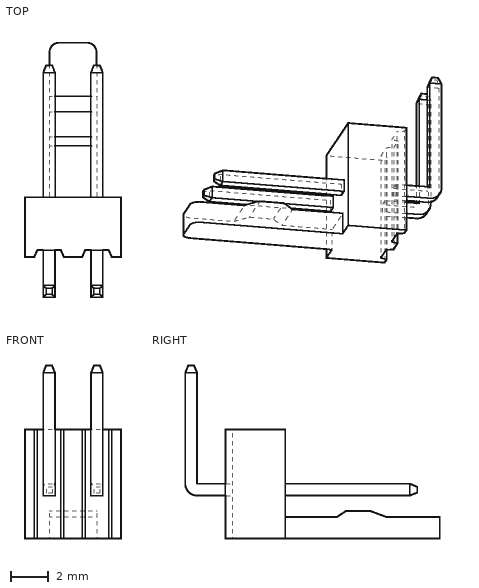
import cadquery as cq


PIN_COUNT = 2
PITCH = 2.54
PIN_SIZE = 0.64
PIN_TOP = 9.2
PIN_AXIS_Z = 2.6
PIN_END_Y = 12.0
TIP_LENGTH = 0.4
TIP_FLAT = 0.32
BEND_RADIUS = PIN_SIZE

BODY_WIDTH = 5.12
BODY_DEPTH = 3.18
BODY_HEIGHT = 5.8
BODY_FRONT_Y = 1.82
BODY_BACK_Y = BODY_FRONT_Y + BODY_DEPTH

GROOVE_MOUTH = 1.56
GROOVE_FLOOR = 1.24
GROOVE_DEPTH = 0.37

TAB_WIDTH = 2.5
TAB_THICKNESS = 1.16
TAB_CORNER_RADIUS = 0.5
TAB_END_Y = 13.2

BUMP_TOP_Z = 1.47
BUMP_NEAR_Y = 7.74
BUMP_TOP_NEAR_Y = 8.21
BUMP_TOP_FAR_Y = 9.52
BUMP_FAR_Y = 10.36

PIN_POSITIONS = [(i - (PIN_COUNT - 1) / 2) * PITCH for i in range(PIN_COUNT)]


def make_body():
    """Rectangular block with a trapezoidal groove behind each pin."""
    body = (
        cq.Workplane("XY")
        .box(BODY_WIDTH, BODY_DEPTH, BODY_HEIGHT, centered=(True, False, False))
        .translate((0, BODY_FRONT_Y, 0))
    )
    groove_floor_y = BODY_FRONT_Y + GROOVE_DEPTH
    for x in PIN_POSITIONS:
        groove = (
            cq.Workplane("XY")
            .moveTo(x - GROOVE_MOUTH / 2, BODY_FRONT_Y)
            .lineTo(x - GROOVE_FLOOR / 2, groove_floor_y)
            .lineTo(x + GROOVE_FLOOR / 2, groove_floor_y)
            .lineTo(x + GROOVE_MOUTH / 2, BODY_FRONT_Y)
            .close()
            .extrude(BODY_HEIGHT)
        )
        body = body.cut(groove)
    return body


def make_tab():
    """Flat tongue with rounded end corners and a ramped latch bump."""
    tongue = (
        cq.Workplane("XY")
        .box(TAB_WIDTH, TAB_END_Y - BODY_BACK_Y, TAB_THICKNESS, centered=(True, False, False))
        .translate((0, BODY_BACK_Y, 0))
        .edges("|Z and >Y")
        .fillet(TAB_CORNER_RADIUS)
    )
    bump = (
        cq.Workplane("YZ")
        .moveTo(BUMP_NEAR_Y, TAB_THICKNESS)
        .lineTo(BUMP_TOP_NEAR_Y, BUMP_TOP_Z)
        .lineTo(BUMP_TOP_FAR_Y, BUMP_TOP_Z)
        .lineTo(BUMP_FAR_Y, TAB_THICKNESS)
        .close()
        .extrude(TAB_WIDTH / 2, both=True)
    )
    return tongue.union(bump)


def make_tip(base):
    """Tapered square tip growing from a workplane at the end of a leg."""
    return (
        base.rect(PIN_SIZE, PIN_SIZE)
        .workplane(offset=TIP_LENGTH)
        .rect(TIP_FLAT, TIP_FLAT)
        .loft()
    )


def make_pin():
    """L-shaped square pin centred on X = 0, tapered at both ends."""
    half = PIN_SIZE / 2
    leg_bottom = PIN_AXIS_Z - half
    leg_top = PIN_AXIS_Z + half
    upright_end_z = PIN_TOP - TIP_LENGTH
    horizontal_end_y = PIN_END_Y - TIP_LENGTH
    legs = (
        cq.Workplane("YZ")
        .moveTo(-half, upright_end_z)
        .lineTo(-half, leg_bottom + BEND_RADIUS)
        .radiusArc((-half + BEND_RADIUS, leg_bottom), -BEND_RADIUS)
        .lineTo(horizontal_end_y, leg_bottom)
        .lineTo(horizontal_end_y, leg_top)
        .lineTo(half, leg_top)
        .lineTo(half, upright_end_z)
        .close()
        .extrude(half, both=True)
    )
    upright_tip = make_tip(cq.Workplane("XY", origin=(0, 0, upright_end_z)))
    horizontal_tip = make_tip(cq.Workplane("ZX", origin=(0, horizontal_end_y, PIN_AXIS_Z)))
    return legs.union(upright_tip).union(horizontal_tip)


result = make_body().union(make_tab())
for pin_x in PIN_POSITIONS:
    result = result.union(make_pin().translate((pin_x, 0, 0)))